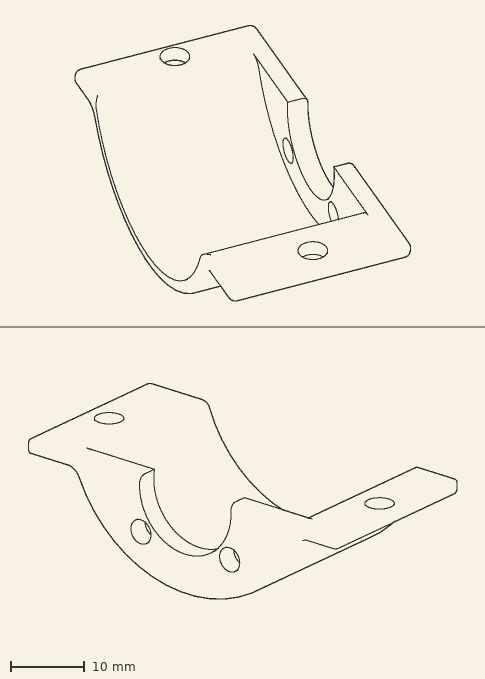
import cadquery as cq
import math

left_end = -26.05
length = 54.0
depth = 26.9
flange_thickness = 2.15
back = depth / 2
right_end = left_end + length

trough_bottom = -15.55
outer_radius = 21.0
wall = 2.0
inner_radius = outer_radius - wall
axis_height = trough_bottom + outer_radius
blend_radius = 2.0
end_wall = 3.0

opening_radius = 8.0
opening_height = -1.4
wall_hole_diameter = 3.5
wall_hole_spacing = 15.5
wall_hole_height = -8.15
flange_hole_diameter = 4.0
flange_hole_xs = (-23.3, 24.0)
flange_hole_from_back = 13.0

edge_round = 1.0
end_round = 0.5


def trough_outline(start, radius, surface_height, left, right, top):
    """Solid outline: an arc about the trough axis, blended into a horizontal surface."""
    blend_height = surface_height - blend_radius
    drop = axis_height - blend_height
    reach = radius + blend_radius
    blend_x = math.sqrt(reach**2 - drop**2)
    tangent_x = blend_x * radius / reach
    tangent_z = axis_height - drop * radius / reach

    half_angle = math.atan2(blend_x, drop) / 2
    middle_x = blend_x - blend_radius * math.sin(half_angle)
    middle_z = blend_height + blend_radius * math.cos(half_angle)

    return (
        cq.Workplane("XZ", origin=(0, start, 0))
        .moveTo(left, top)
        .lineTo(left, surface_height)
        .lineTo(-blend_x, surface_height)
        .threePointArc((-middle_x, middle_z), (-tangent_x, tangent_z))
        .threePointArc((0, axis_height - radius), (tangent_x, tangent_z))
        .threePointArc((middle_x, middle_z), (blend_x, surface_height))
        .lineTo(right, surface_height)
        .lineTo(right, top)
        .close()
    )


def rounded_body():
    """Filled outer shape with every outside edge rounded."""
    body = trough_outline(back, outer_radius, -flange_thickness, left_end, right_end, 0).extrude(depth)
    body = body.faces("<X or >X").edges("|Y").fillet(end_round)
    return body.faces("<Y or >Y").edges().fillet(edge_round)


def cavity():
    """Trough interior, open at the front and flared at the top by the blends."""
    clearance = 0.55
    cavity_back = back - end_wall
    cut_depth = depth - end_wall + clearance
    return trough_outline(
        cavity_back, inner_radius, 0, left_end - clearance, right_end + clearance, clearance
    ).extrude(cut_depth)


def end_wall_holes():
    """Round shaft opening with a bolt hole on each side."""
    plane = cq.Workplane("XZ", origin=(0, back, 0))
    opening = plane.center(0, opening_height).circle(opening_radius).extrude(end_wall)
    bolts = (
        plane.pushPoints([(side * wall_hole_spacing / 2, wall_hole_height) for side in (-1, 1)])
        .circle(wall_hole_diameter / 2)
        .extrude(end_wall)
    )
    return opening.union(bolts)


def flange_holes():
    """Vertical bolt holes through both flanges."""
    hole_y = back - flange_hole_from_back
    return (
        cq.Workplane("XY")
        .pushPoints([(x, hole_y) for x in flange_hole_xs])
        .circle(flange_hole_diameter / 2)
        .extrude(-flange_thickness)
    )


result = rounded_body().cut(cavity()).cut(end_wall_holes()).cut(flange_holes())